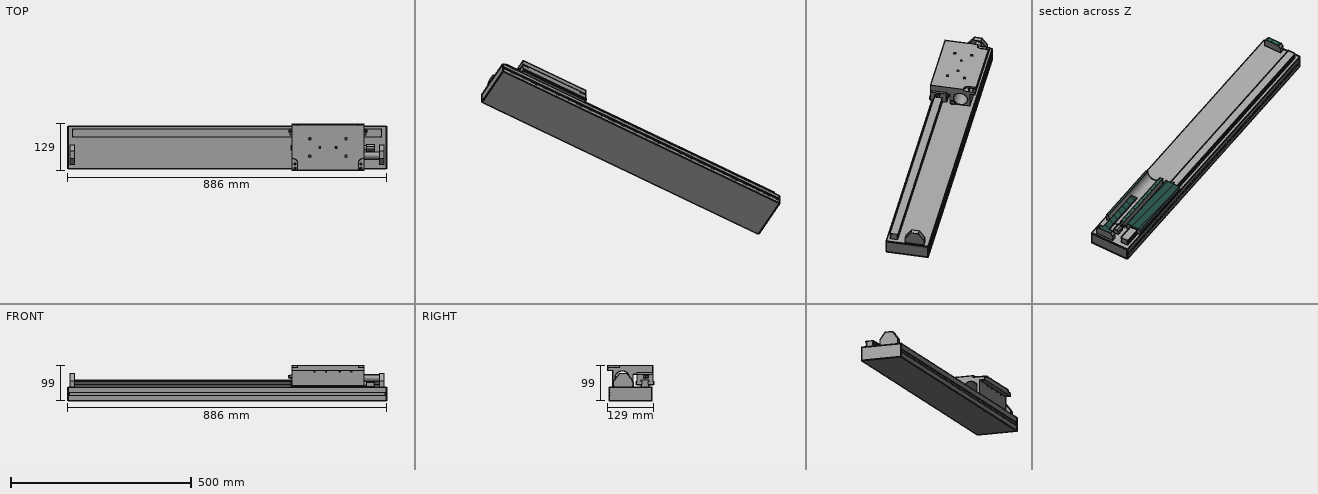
import cadquery as cq

BASE_LENGTH = 886.0
BASE_WIDTH = 120.0
BASE_HEIGHT = 40.0
BASE_CHAMFER = 1.3
END_CAP_THICKNESS = 3.0
END_CAP_INSET = 2.0
SLOT_WIDTH = 8.0
SLOT_DEPTH = 3.5
SLOT_END_WALL = 3.0

RAIL_START = 14.0
RAIL_LENGTH = 856.0
RAIL_Y = 40.0
RAIL_HEIGHT = 19.0
RAIL_HEAD_HALF = 11.5
RAIL_WAIST_HALF = 9.0
RAIL_FOOT_HALF = 11.0
RAIL_HEAD_LOWER = 16.0
RAIL_WAIST_UPPER = 13.0
RAIL_WAIST_LOWER = 8.0
RAIL_FOOT_HEIGHT = 5.0

BRACKET_THICKNESS = 13.0
BRACKET_INSET = 6.0
RIGHT_BRACKET_INSET = 8.0
BRACKET_WIDTH = 53.0
BRACKET_TOP_WIDTH = 21.0
BRACKET_HEIGHT = 37.0
BRACKET_SHOULDER = 16.0
BRACKET_Y = -20.0
ROD_DIAMETER = 19.5
ROD_Y = -23.0
ROD_Z = 64.0

RUNNER_WIDTH = 45.0
RUNNER_BOTTOM = 45.0
RUNNER_END_LENGTH = 18.0
LUG_WIDTH = 50.0
LUG_BOTTOM = 47.0
LUG_HEIGHT = 7.0
NIPPLE_Z = 68.0
NIPPLE_DIAMETER = 10.0
NIPPLE_LENGTH = 5.0
NIPPLE_TIP_DIAMETER = 6.65
NIPPLE_TIP_LENGTH = 11.0

CARRIAGE_START = 622.0
CARRIAGE_LENGTH = 200.0
CARRIAGE_END = CARRIAGE_START + CARRIAGE_LENGTH
CARRIAGE_MID = CARRIAGE_START + CARRIAGE_LENGTH / 2
CARRIAGE_TOP = 99.0
PLATE_FRONT = -64.0
PLATE_BACK = 62.0
OVERHANG_BOTTOM = 85.0
HOUSING_FRONT = -50.0
HOUSING_BACK = 7.0
HOUSING_BOTTOM = 42.5
LEDGE_BOTTOM = 74.0
SEAT_EDGE = RAIL_Y - RUNNER_WIDTH / 2
SEAT_HEIGHT = 80.0
BORE_DIAMETER = 40.0

SCREW_HOLE_DIAMETER = 6.65
PLATE_HOLE_DEPTH = 12.0
SCREW_SPACING_X = 100.0
SCREW_SPACING_Y = 48.0
DOWEL_HOLE_DIAMETER = 5.0
DOWEL_SPACING = 45.0

CORNER_WIDTH = 16.0
CORNER_LENGTH = 33.0
CORNER_DEPTH = 5.0
CORNER_RADIUS = 12.0
CORNER_HOLE_DIAMETER = 5.05
CORNER_HOLE_INSET = 9.0
CORNER_HOLE_OFFSETS = (6.0, 18.0)
CORNER_HOLE_DEPTH = 9.0

SIDE_HOLE_DIAMETER = 3.3
SIDE_HOLE_DEPTH = 3.5
SIDE_HOLE_Z = 82.0
SIDE_HOLE_PAIR_SPACING = 32.0
SIDE_HOLE_PAIR_STARTS = (685.0, 755.0)

PLUG_Y = -1.0
COLLAR_Z = 48.0
COLLAR_DIAMETER = 12.0
COLLAR_LENGTH = 6.0
PLUG_BOTTOM = 41.0
PLUG_WIDTH = 17.0
PLUG_HEIGHT = 15.0
PLUG_LENGTH = 22.0
PLUG_CHAMFER = 4.0
CAP_LENGTH = 3.0


def block(x_range, y_range, z_range):
    """Box given by its lower and upper limit along each axis."""
    (x0, x1), (y0, y1), (z0, z1) = x_range, y_range, z_range
    return cq.Workplane("XY").box(x1 - x0, y1 - y0, z1 - z0, centered=False).translate((x0, y0, z0))


def rod_along_x(x_start, length, diameter, y, z):
    """Round bar along X; a negative length runs toward -X."""
    return cq.Workplane("YZ", origin=(x_start, y, z)).circle(diameter / 2).extrude(length)


def make_base():
    """Profile with a slot in each side, stepped in a little at both ends."""
    half_width = BASE_WIDTH / 2
    profile_x = (END_CAP_THICKNESS, BASE_LENGTH - END_CAP_THICKNESS)
    profile = block(profile_x, (-half_width, half_width), (0, BASE_HEIGHT)).edges("|X").chamfer(BASE_CHAMFER)
    cap_half_width = half_width - END_CAP_INSET
    cap_z = (END_CAP_INSET, BASE_HEIGHT - END_CAP_INSET)
    base = profile.union(block((0, BASE_LENGTH), (-cap_half_width, cap_half_width), cap_z))

    slot_x = (profile_x[0] + SLOT_END_WALL, profile_x[1] - SLOT_END_WALL)
    slot_z = ((BASE_HEIGHT - SLOT_WIDTH) / 2, (BASE_HEIGHT + SLOT_WIDTH) / 2)
    front_slot = block(slot_x, (-half_width, -half_width + SLOT_DEPTH), slot_z)
    return base.cut(front_slot).cut(front_slot.mirror("XZ"))


def make_rail():
    right_side = [
        (RAIL_FOOT_HALF, 0),
        (RAIL_FOOT_HALF, RAIL_FOOT_HEIGHT),
        (RAIL_WAIST_HALF, RAIL_WAIST_LOWER),
        (RAIL_WAIST_HALF, RAIL_WAIST_UPPER),
        (RAIL_HEAD_HALF, RAIL_HEAD_LOWER),
        (RAIL_HEAD_HALF, RAIL_HEIGHT),
    ]
    left_side = [(-y, z) for y, z in reversed(right_side)]
    profile = cq.Workplane("YZ", origin=(RAIL_START, RAIL_Y, BASE_HEIGHT))
    return profile.polyline(right_side + left_side).close().extrude(RAIL_LENGTH)


def make_bracket(x_start):
    half_width = BRACKET_WIDTH / 2
    half_top = BRACKET_TOP_WIDTH / 2
    outline = [
        (-half_width, 0),
        (half_width, 0),
        (half_width, BRACKET_SHOULDER),
        (half_top, BRACKET_HEIGHT),
        (-half_top, BRACKET_HEIGHT),
        (-half_width, BRACKET_SHOULDER),
    ]
    plane = cq.Workplane("YZ", origin=(x_start, BRACKET_Y, BASE_HEIGHT))
    return plane.polyline(outline).close().extrude(BRACKET_THICKNESS)


def make_rod_bracket():
    """Right bracket with the rod that reaches halfway into the motor bore."""
    x_start = BASE_LENGTH - RIGHT_BRACKET_INSET - BRACKET_THICKNESS
    rod = rod_along_x(x_start, CARRIAGE_MID - x_start, ROD_DIAMETER, ROD_Y, ROD_Z)
    return make_bracket(x_start).union(rod)


def make_nipple(x_face, direction):
    """Grease nipple: a straight body along X with a tip turned 45 degrees toward +Y."""
    body = rod_along_x(x_face, direction * NIPPLE_LENGTH, NIPPLE_DIAMETER, RAIL_Y, NIPPLE_Z)
    tip_plane = cq.Plane(origin=(x_face, RAIL_Y, NIPPLE_Z), xDir=(0, 0, 1), normal=(direction, 1, 0))
    tip = cq.Workplane(tip_plane).circle(NIPPLE_TIP_DIAMETER / 2).extrude(NIPPLE_TIP_LENGTH)
    return body.union(tip)


def make_runner(rail):
    """Runner with low end caps, side lugs and a grease nipple at each end."""
    x_range = (CARRIAGE_START, CARRIAGE_END)
    steel_x = (CARRIAGE_START + RUNNER_END_LENGTH, CARRIAGE_END - RUNNER_END_LENGTH)
    y_range = (RAIL_Y - RUNNER_WIDTH / 2, RAIL_Y + RUNNER_WIDTH / 2)
    lug_y = (RAIL_Y - LUG_WIDTH / 2, RAIL_Y + LUG_WIDTH / 2)
    runner = block(x_range, y_range, (RUNNER_BOTTOM, LEDGE_BOTTOM))
    runner = runner.union(block(steel_x, y_range, (RUNNER_BOTTOM, SEAT_HEIGHT)))
    runner = runner.union(block(x_range, lug_y, (LUG_BOTTOM, LUG_BOTTOM + LUG_HEIGHT)))
    for x_face, direction in ((CARRIAGE_START, -1), (CARRIAGE_END, 1)):
        runner = runner.union(make_nipple(x_face, direction))
    return runner.cut(rail)


def carriage_body():
    """Plate and housing in one extruded section, bored along X for the rod."""
    section = [
        (PLATE_FRONT, CARRIAGE_TOP),
        (PLATE_FRONT, OVERHANG_BOTTOM),
        (HOUSING_FRONT, OVERHANG_BOTTOM),
        (HOUSING_FRONT, HOUSING_BOTTOM),
        (HOUSING_BACK, HOUSING_BOTTOM),
        (HOUSING_BACK, LEDGE_BOTTOM),
        (SEAT_EDGE, LEDGE_BOTTOM),
        (SEAT_EDGE, SEAT_HEIGHT),
        (PLATE_BACK, SEAT_HEIGHT),
        (PLATE_BACK, CARRIAGE_TOP),
    ]
    body = cq.Workplane("YZ", origin=(CARRIAGE_START, 0, 0)).polyline(section).close().extrude(CARRIAGE_LENGTH)
    return body.cut(rod_along_x(CARRIAGE_START, CARRIAGE_LENGTH, BORE_DIAMETER, ROD_Y, ROD_Z))


def drill_plate(body):
    """Four mounting screw holes and two dowel holes in the plate top."""
    top = cq.Workplane("XY", origin=(CARRIAGE_MID, 0, CARRIAGE_TOP))
    screws = top.rect(SCREW_SPACING_X, SCREW_SPACING_Y, forConstruction=True).vertices()
    dowels = top.pushPoints([(-DOWEL_SPACING / 2, 0), (DOWEL_SPACING / 2, 0)])
    body = body.cut(screws.circle(SCREW_HOLE_DIAMETER / 2).extrude(-PLATE_HOLE_DEPTH))
    return body.cut(dowels.circle(DOWEL_HOLE_DIAMETER / 2).extrude(-PLATE_HOLE_DEPTH))


def cut_corner(body, x_edge, inward):
    """Recess with a rounded inner corner and two holes at one front corner of the plate."""
    floor = CARRIAGE_TOP - CORNER_DEPTH
    x_limits = sorted((x_edge, x_edge + inward * CORNER_WIDTH))
    recess = block(x_limits, (PLATE_FRONT, PLATE_FRONT + CORNER_LENGTH), (floor, CARRIAGE_TOP))
    inner_side = ">X" if inward > 0 else "<X"
    recess = recess.edges("|Z").edges(">Y").edges(inner_side).fillet(CORNER_RADIUS)
    hole_x = x_edge + inward * CORNER_HOLE_INSET
    points = [(hole_x, PLATE_FRONT + offset) for offset in CORNER_HOLE_OFFSETS]
    holes = cq.Workplane("XY", origin=(0, 0, floor)).pushPoints(points).circle(CORNER_HOLE_DIAMETER / 2)
    return body.cut(recess).cut(holes.extrude(-CORNER_HOLE_DEPTH))


def drill_side(body):
    """Two pairs of holes in the housing front, just below the overhang."""
    points = []
    for start in SIDE_HOLE_PAIR_STARTS:
        points += [(start, SIDE_HOLE_Z), (start + SIDE_HOLE_PAIR_SPACING, SIDE_HOLE_Z)]
    face = cq.Workplane("XZ", origin=(0, HOUSING_FRONT, 0)).pushPoints(points)
    return body.cut(face.circle(SIDE_HOLE_DIAMETER / 2).extrude(-SIDE_HOLE_DEPTH))


def add_plug(body):
    """Round collar and chamfered plug on the right end, with a flat round cap on the left end."""
    collar = rod_along_x(CARRIAGE_END, COLLAR_LENGTH, COLLAR_DIAMETER, PLUG_Y, COLLAR_Z)
    plug_start = CARRIAGE_END + COLLAR_LENGTH
    plug = block(
        (plug_start, plug_start + PLUG_LENGTH),
        (PLUG_Y - PLUG_WIDTH / 2, PLUG_Y + PLUG_WIDTH / 2),
        (PLUG_BOTTOM, PLUG_BOTTOM + PLUG_HEIGHT),
    )
    plug = plug.faces(">Z").edges("|X").chamfer(PLUG_CHAMFER)
    cap = rod_along_x(CARRIAGE_START, -CAP_LENGTH, COLLAR_DIAMETER, PLUG_Y, COLLAR_Z)
    return body.union(collar).union(plug).union(cap)


def make_carriage():
    carriage = drill_side(drill_plate(carriage_body()))
    carriage = cut_corner(carriage, CARRIAGE_START, 1)
    carriage = cut_corner(carriage, CARRIAGE_END, -1)
    return add_plug(carriage)


base = make_base()
rail = make_rail()
runner = make_runner(rail)
carriage = make_carriage()
left_bracket = make_bracket(BRACKET_INSET)
rod_bracket = make_rod_bracket()

result = cq.Compound.makeCompound(
    [
        base.val(),
        rail.val(),
        runner.val(),
        carriage.val(),
        left_bracket.val(),
        rod_bracket.val(),
    ]
)